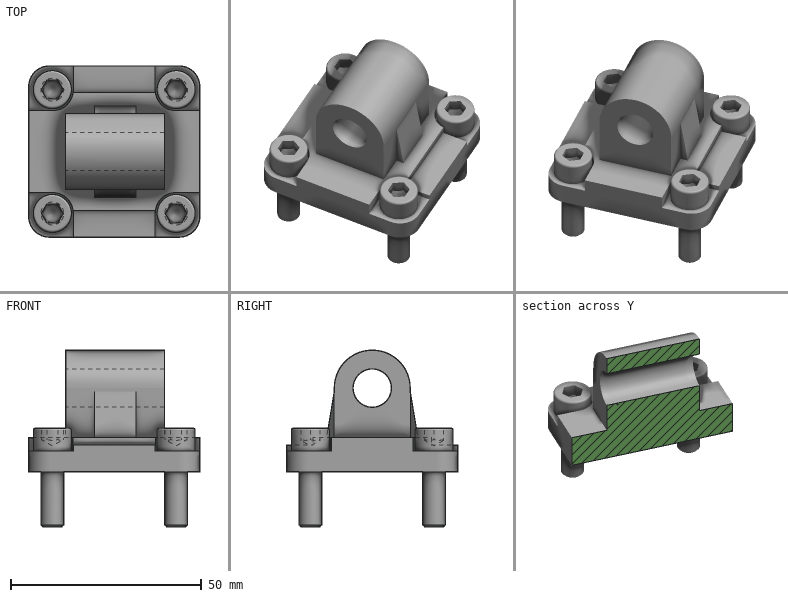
import cadquery as cq
import math

PLATE_SIDE = 45.0
PLATE_CORNER_RADIUS = 5.5
DECK_HEIGHT = 9.0
DECK_HALF_WIDTH = 15.5
RAIL_HEIGHT = 7.0
SEAT_HEIGHT = 5.5

SCREW_SPACING = 32.5
SHANK_DIAMETER = 6.0
SHANK_LENGTH = 20.0
SHANK_TIP_CHAMFER = 0.61
HEAD_DIAMETER = 10.0
HEAD_HEIGHT = 6.0
HEAD_EDGE_FILLET = 0.6
SOCKET_ACROSS_FLATS = 5.0
SOCKET_DEPTH = 3.0
DRILL_POINT_ANGLE = 120.0

SEAT_RADIUS = 5.5
SEAT_WALL = SCREW_SPACING / 2 - SEAT_RADIUS

LUG_LENGTH = 26.0
LUG_WIDTH = 20.0
LUG_CENTRE_X = 0.25
BORE_DIAMETER = 10.0
BORE_HEIGHT = 22.0

RIB_LENGTH = 11.0
RIB_TOP = 21.0
RIB_PROJECTION = 2.0


def make_seat_cutter(side_x, side_y):
    """Corner volume above a screw seat, rounded at its inner corner."""
    plate_edge = PLATE_SIDE / 2
    size = plate_edge - SEAT_WALL
    centre = SEAT_WALL + size / 2
    inner_edge = "|Z and " + ("<X" if side_x > 0 else ">X") + " and " + ("<Y" if side_y > 0 else ">Y")
    return (
        cq.Workplane("XY", origin=(side_x * centre, side_y * centre, SEAT_HEIGHT))
        .rect(size, size)
        .extrude(DECK_HEIGHT - SEAT_HEIGHT)
        .edges(inner_edge)
        .fillet(SEAT_RADIUS)
    )


def make_plate():
    """Square plate with a raised deck, two lower rails and four screw seats."""
    plate = (
        cq.Workplane("XY")
        .rect(PLATE_SIDE, PLATE_SIDE)
        .extrude(RAIL_HEIGHT)
        .faces(">Z")
        .workplane()
        .rect(PLATE_SIDE, 2 * DECK_HALF_WIDTH)
        .extrude(DECK_HEIGHT - RAIL_HEIGHT)
    )
    rounded_outline = (
        cq.Workplane("XY")
        .rect(PLATE_SIDE, PLATE_SIDE)
        .extrude(DECK_HEIGHT)
        .edges("|Z")
        .fillet(PLATE_CORNER_RADIUS)
    )
    plate = plate.intersect(rounded_outline)
    for side_x in (-1, 1):
        for side_y in (-1, 1):
            plate = plate.cut(make_seat_cutter(side_x, side_y))
    return plate


def make_lug():
    """Round-topped block standing on the deck, extruded along X."""
    half_width = LUG_WIDTH / 2
    return (
        cq.Workplane("YZ", origin=(LUG_CENTRE_X - LUG_LENGTH / 2, 0, 0))
        .moveTo(-half_width, DECK_HEIGHT)
        .lineTo(half_width, DECK_HEIGHT)
        .lineTo(half_width, BORE_HEIGHT)
        .threePointArc((0, BORE_HEIGHT + half_width), (-half_width, BORE_HEIGHT))
        .close()
        .extrude(LUG_LENGTH)
    )


def make_ribs():
    """Pair of wedges tapering into the lug, joined through it as one trapezoid."""
    top_half = LUG_WIDTH / 2
    bottom_half = top_half + RIB_PROJECTION
    return (
        cq.Workplane("YZ", origin=(LUG_CENTRE_X - RIB_LENGTH / 2, 0, 0))
        .moveTo(-bottom_half, DECK_HEIGHT)
        .lineTo(bottom_half, DECK_HEIGHT)
        .lineTo(top_half, RIB_TOP)
        .lineTo(-top_half, RIB_TOP)
        .close()
        .extrude(RIB_LENGTH)
    )


def make_bore():
    """Pin bore running the whole length of the lug."""
    return (
        cq.Workplane("YZ", origin=(LUG_CENTRE_X - LUG_LENGTH / 2, 0, BORE_HEIGHT))
        .circle(BORE_DIAMETER / 2)
        .extrude(LUG_LENGTH)
    )


def make_socket():
    """Hexagonal key socket with a conical bottom, hanging from Z = 0."""
    corner_radius = SOCKET_ACROSS_FLATS / 2 / math.cos(math.pi / 6)
    point_depth = corner_radius / math.tan(math.radians(DRILL_POINT_ANGLE / 2))
    full_depth = SOCKET_DEPTH + point_depth
    hexagon = cq.Workplane("XY").polygon(6, 2 * corner_radius).extrude(-full_depth)
    drill = (
        cq.Workplane("XZ")
        .moveTo(0, 0)
        .lineTo(corner_radius, 0)
        .lineTo(corner_radius, -SOCKET_DEPTH)
        .lineTo(0, -full_depth)
        .close()
        .revolve(360, (0, 0, 0), (0, 1, 0))
    )
    return hexagon.intersect(drill)


def make_screw():
    """Socket head screw with the underside of its head at Z = 0."""
    head = (
        cq.Workplane("XY")
        .circle(HEAD_DIAMETER / 2)
        .extrude(HEAD_HEIGHT)
        .faces(">Z")
        .edges()
        .fillet(HEAD_EDGE_FILLET)
    )
    shank = (
        cq.Workplane("XY")
        .circle(SHANK_DIAMETER / 2)
        .extrude(-SHANK_LENGTH)
        .faces("<Z")
        .chamfer(SHANK_TIP_CHAMFER)
    )
    socket = make_socket().translate((0, 0, HEAD_HEIGHT))
    return head.union(shank).cut(socket)


def make_part():
    """Plate, lug and ribs with the bore, plus a screw in every corner."""
    part = make_plate().union(make_lug()).union(make_ribs()).cut(make_bore())
    screw = make_screw()
    offset = SCREW_SPACING / 2
    for x in (-offset, offset):
        for y in (-offset, offset):
            part = part.union(screw.translate((x, y, SEAT_HEIGHT)))
    return part


result = make_part()